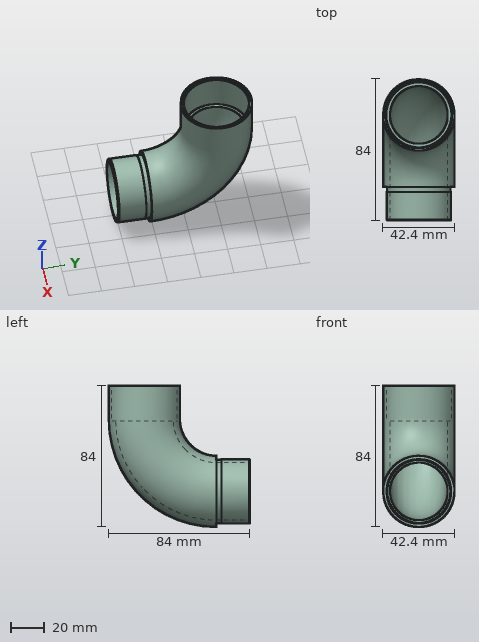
import cadquery as cq

overall_length = 84.0
tube_diameter = 42.4
bore_diameter = 34.2

end_length = 20.0
bend_radius = overall_length - end_length - tube_diameter / 2

socket_diameter = 38.7
socket_depth = 21.0
socket_mouth_chamfer = 0.4

spigot_diameter = 38.3
neck_diameter = 37.9
neck_length = 3.1
spigot_chamfer_length = 0.7
spigot_chamfer_depth = 0.4


def quarter_bend(diameter):
    """Quarter torus from the socket joint (origin, facing +Z) to the spigot joint (facing -Y)."""
    return (
        cq.Workplane("XY")
        .circle(diameter / 2)
        .revolve(90, (0.8, -bend_radius, 0), (0, -bend_radius, 0))
    )


def socket_cylinder(diameter, length):
    """Vertical cylinder of a given length, measured downwards from the socket mouth."""
    return cq.Workplane("XY", origin=(0, 0, end_length)).circle(diameter / 2).extrude(-length)


def spigot_cylinder(diameter, start, length):
    """Horizontal cylinder towards -Y, beginning at a distance from the spigot joint."""
    joint = (0, -bend_radius - start, -bend_radius)
    return cq.Workplane("XZ", origin=joint).circle(diameter / 2).extrude(length)


body = socket_cylinder(tube_diameter, end_length).union(quarter_bend(tube_diameter))

neck = spigot_cylinder(neck_diameter, 0, neck_length)
plug = (
    spigot_cylinder(spigot_diameter, neck_length, end_length - neck_length)
    .faces("<Y")
    .chamfer(spigot_chamfer_length, spigot_chamfer_depth)
)
body = body.union(neck).union(plug)

body = body.cut(quarter_bend(bore_diameter))
body = body.cut(spigot_cylinder(bore_diameter, 0, end_length))

body = body.cut(socket_cylinder(socket_diameter, socket_depth))
inner_edge = cq.selectors.RadiusNthSelector(0)
result = body.faces(">Z").edges(inner_edge).chamfer(socket_mouth_chamfer)